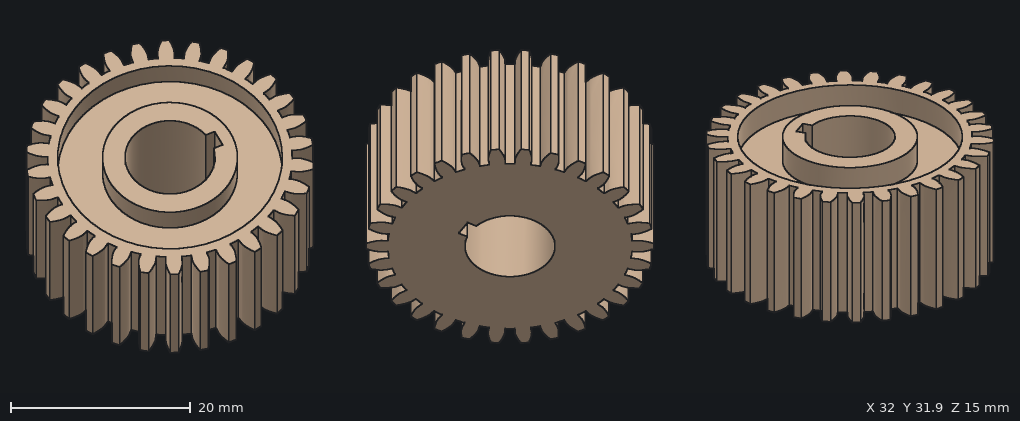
import cadquery as cq
import math

tooth_count = 30
tip_diameter = 32.0
tip_radius = tip_diameter / 2
module = tip_diameter / (tooth_count + 2)
pitch_radius = module * tooth_count / 2
pressure_angle = math.radians(17.5)
base_radius = pitch_radius * math.cos(pressure_angle)
root_radius = 13.6
tooth_thickness = 1.65
flank_steps = 5

face_width = 15.0
recess_diameter = 25.0
recess_depth = 3.0
hub_diameter = 15.0
bore_diameter = 10.0

keyway_width = 2.0
keyway_top = 6.0


def polar(radius, angle):
    return (radius * math.cos(angle), radius * math.sin(angle))


def involute_angle(radius):
    """Angle swept by the involute between the base circle and a radius."""
    slope = math.acos(base_radius / radius)
    return math.tan(slope) - slope


half_angle_at_base = tooth_thickness / (2 * pitch_radius) + involute_angle(pitch_radius)


def flank_points(tooth_angle, side):
    """Points up one involute flank, base to tip and closest together near the base; side is -1 or 1."""
    points = []
    for step in range(flank_steps + 1):
        radius = base_radius + (tip_radius - base_radius) * (step / flank_steps) ** 2
        half_angle = half_angle_at_base - involute_angle(radius)
        points.append(polar(radius, tooth_angle + side * half_angle))
    return points


def gear_outline():
    """Closed outline: involute flanks, radial below the base circle, with round tips and roots."""
    pitch_step = 2 * math.pi / tooth_count
    outline = cq.Workplane("XY").moveTo(*polar(root_radius, -half_angle_at_base))
    for tooth in range(tooth_count):
        tooth_angle = tooth * pitch_step
        rising = flank_points(tooth_angle, -1)
        falling = flank_points(tooth_angle, 1)[::-1]
        root_start = polar(root_radius, tooth_angle + half_angle_at_base)
        root_middle = polar(root_radius, tooth_angle + pitch_step / 2)
        root_end = polar(root_radius, tooth_angle + pitch_step - half_angle_at_base)

        outline = outline.lineTo(*rising[0])
        outline = outline.spline(rising[1:], includeCurrent=True)
        outline = outline.threePointArc(polar(tip_radius, tooth_angle), falling[0])
        outline = outline.spline(falling[1:], includeCurrent=True)
        outline = outline.lineTo(*root_start)
        outline = outline.threePointArc(root_middle, root_end)
    return outline.close()


def recess():
    """Ring-shaped pocket in the top face, between the rim and the hub."""
    return (
        cq.Workplane("XY", origin=(0, 0, face_width - recess_depth))
        .circle(recess_diameter / 2)
        .circle(hub_diameter / 2)
        .extrude(recess_depth)
    )


def keyed_bore():
    """Through bore with a rectangular keyway on its +Y side."""
    bore = cq.Workplane("XY").circle(bore_diameter / 2).extrude(face_width)
    keyway = (
        cq.Workplane("XY")
        .rect(keyway_width, keyway_top)
        .extrude(face_width)
        .translate((0, keyway_top / 2, 0))
    )
    return bore.union(keyway)


result = gear_outline().extrude(face_width).cut(recess()).cut(keyed_bore())